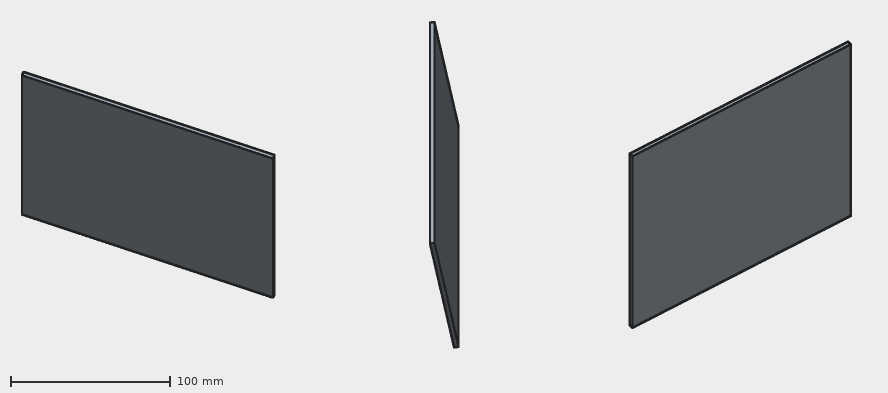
import cadquery as cq
import math

overall_width = 155.8
plate_height = 150.0
plate_thickness = 3.0
plate_angle = 24.6

angle = math.radians(plate_angle)
plate_length = (overall_width - plate_thickness * math.sin(angle)) / math.cos(angle)

result = (
    cq.Workplane("XY")
    .box(plate_length, plate_thickness, plate_height)
    .rotate((0, 0, 0), (0, 0, 1), plate_angle)
)